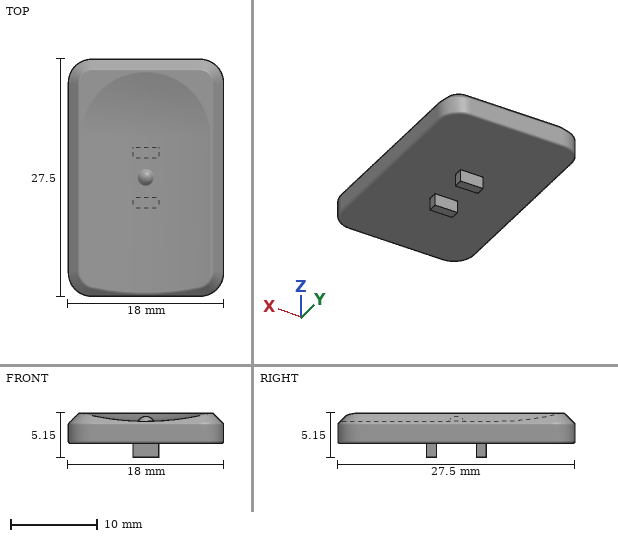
import cadquery as cq
import math

width = 18.0
length = 27.5
body_height = 3.55
corner_radius = 2.75
bevel = 1.25
edge_blend = 0.3

dish_radius = 7.48
dish_depth = 0.95
dish_center_y = 4.73
dish_floor_z = body_height - dish_depth
dish_curve_radius = (dish_radius**2 + dish_depth**2) / (2 * dish_depth)

dome_radius = 1.0
dome_height = 0.58
dome_blend = 0.15

peg_width = 3.02
peg_thickness = 1.18
peg_height = 1.6
peg_spacing = 5.78


def make_plate():
    """Rounded rectangle with a bevelled top edge, standing on Z = 0."""
    plate = (
        cq.Workplane("XY")
        .rect(width, length)
        .extrude(body_height)
        .edges("|Z")
        .fillet(corner_radius)
    )
    return plate.faces(">Z").edges().chamfer(bevel)


def half_dish_profile():
    """Half of the dish section: from its lowest point up the arc to the top face."""
    mid_angle = math.asin(dish_radius / dish_curve_radius) / 2
    mid_point = (
        dish_curve_radius * math.sin(mid_angle),
        dish_floor_z + dish_curve_radius * (1 - math.cos(mid_angle)),
    )
    return (
        cq.Workplane("XZ", origin=(0, dish_center_y, 0))
        .moveTo(0, dish_floor_z)
        .threePointArc(mid_point, (dish_radius, body_height))
        .lineTo(0, body_height)
        .close()
    )


def make_dish():
    """Bowl-shaped rear end and a trough that runs out through the front edge."""
    bowl = half_dish_profile().revolve(360, (0, 0, 0), (0, 1, 0))
    trough = half_dish_profile().extrude(length)
    return bowl.union(trough).union(trough.mirror("YZ"))


def add_dome(plate):
    """Spherical cap rising from the dish floor, blended into it around its base."""
    center_z = dish_floor_z + dome_height - dome_radius
    dome = cq.Workplane("XY").sphere(dome_radius).translate((0, 0, center_z))
    base_region = cq.selectors.BoxSelector(
        (-dome_radius, -dome_radius, dish_floor_z - dome_blend),
        (dome_radius, dome_radius, dish_floor_z + dome_blend),
    )
    return plate.union(dome).edges(base_region).fillet(dome_blend)


def make_pegs():
    """Rectangular pegs hanging below the plate, one on each side of the centre."""
    return (
        cq.Workplane("XY")
        .rarray(0.28, peg_spacing, 1, 2)
        .rect(peg_width, peg_thickness)
        .extrude(-peg_height)
    )


def blend_edges(plate):
    """Round the bottom edge, the shoulder under the bevel and every rim of the top face and dish."""
    bottom = plate.faces("<Z").edges()
    wall_edges = plate.faces("#Z").edges("not |Z")
    top_rims = plate.faces(">Z").edges()
    dish_exit = plate.edges("%ELLIPSE or %BSPLINE")
    return bottom.add(wall_edges).add(top_rims).add(dish_exit).fillet(edge_blend)


plate = blend_edges(make_plate().cut(make_dish()))
result = add_dome(plate).union(make_pegs())